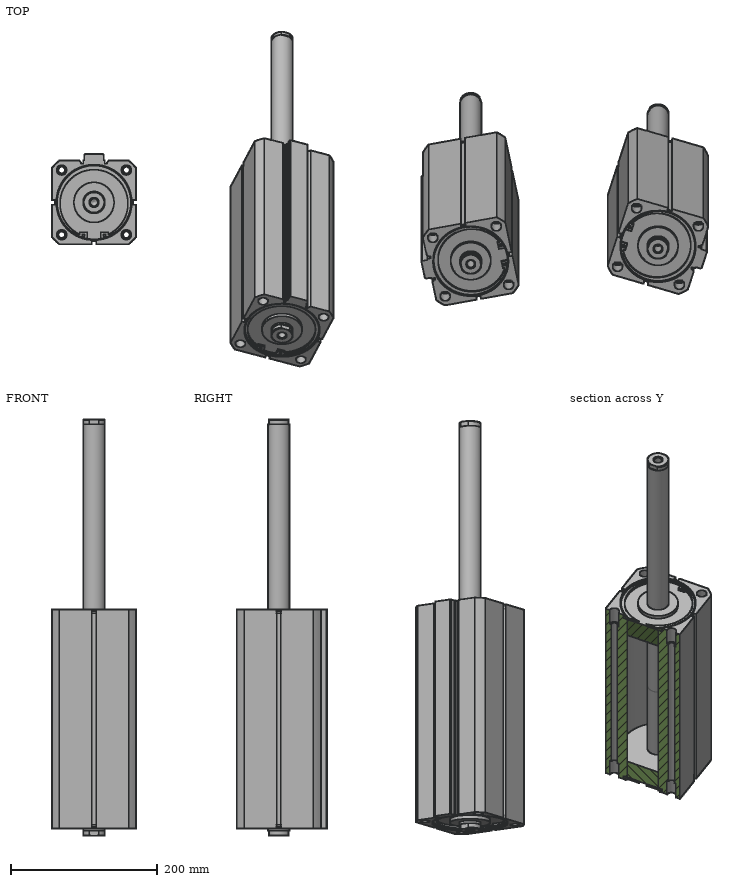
import cadquery as cq
import math

BODY_SIZE = 115.0
HALF = BODY_SIZE / 2
BODY_LENGTH = 300.0
CORNER_DIAMETER = 149.0
BORE_DIAMETER = 101.0
MOUTH_DIAMETER = 103.5
MOUTH_DEPTH = 1.5

SLOT_WIDTH = 6.0
SLOT_FLOOR = 53.0

RAIL_WIDTH = 27.0
RAIL_HEIGHT = 9.0
RAIL_CHAMFER = 1.5
RAIL_FOOT_WIDTH = 30.0
RAIL_FOOT_TOP = HALF + 0.5
RAIL_SLOT_WIDTH = 35.0
RAIL_SLOT_CHAMFER = 3.0

BOLT_SPACING = 88.5
BOLT_HOLE_DIAMETER = 9.0
TAP_DIAMETER = 13.5
TAP_DEPTH = 25.0

RING_THICKNESS = 3.0
RING_DEPTH = 2.5
RING_DIAMETER = 107.0
RING_INNER_DIAMETER = 93.0
RING_INNER_SHIFT = 1.7
RING_GAP = 19.0
EAR_INNER_Y = -41.0
EAR_WIDTH = 10.0
EAR_HOLE_DIAMETER = 3.5
EAR_HOLE_Y = -45.0

COLLAR_TOP = RING_DEPTH + RING_THICKNESS
COLLAR_LENGTH = 30.0
BOSS_DIAMETER = 55.0
BOSS_DEPTH = 0.5

ROD_DIAMETER = 30.0
ROD_TOP_REACH = 260.0
ROD_BOTTOM_REACH = 10.0
ROD_CHAMFER = 1.0
FLAT_ACROSS = 27.0
FLAT_LENGTH = 7.0
ROD_END_DIAMETER = 29.8
ROD_HOLE_DIAMETER = 10.5
ROD_HOLE_COUNTERSINK = 13.0
ROD_HOLE_DEPTH = 27.0
DRILL_TIP_ANGLE = 118.0

MID_PLANE = BODY_LENGTH / 2


def cylinder(diameter, bottom, top):
    return cq.Workplane("XY").workplane(offset=bottom).circle(diameter / 2).extrude(top - bottom)


def mirrored(end_part):
    """Copy of a part of the upper end, placed at the lower end."""
    return end_part.mirror("XY", (0, 0, MID_PLANE))


def long_box(width, y_low, y_high):
    """Full-length bar, centred on X, between two Y positions."""
    bar = cq.Workplane("XY").rect(width, y_high - y_low).extrude(BODY_LENGTH)
    return bar.translate((0, (y_low + y_high) / 2, 0))


def profile_blank():
    square = cq.Workplane("XY").rect(BODY_SIZE, BODY_SIZE).extrude(BODY_LENGTH)
    return square.intersect(cylinder(CORNER_DIAMETER, 0, BODY_LENGTH))


def rail_channel():
    half = RAIL_SLOT_WIDTH / 2
    mouth = half + RAIL_SLOT_CHAMFER
    outline = [
        (-half, SLOT_FLOOR), (half, SLOT_FLOOR), (half, HALF - RAIL_SLOT_CHAMFER), (mouth, HALF),
        (-mouth, HALF), (-half, HALF - RAIL_SLOT_CHAMFER),
    ]
    return cq.Workplane("XY").polyline(outline).close().extrude(BODY_LENGTH)


def rail():
    bar = long_box(RAIL_WIDTH, BORE_DIAMETER / 2, HALF + RAIL_HEIGHT)
    bar = bar.faces(">Y").edges("|Z").chamfer(RAIL_CHAMFER)
    return bar.union(long_box(RAIL_FOOT_WIDTH, BORE_DIAMETER / 2, RAIL_FOOT_TOP))


def bore():
    mouth = cylinder(MOUTH_DIAMETER, BODY_LENGTH - MOUTH_DEPTH, BODY_LENGTH)
    groove_top = BODY_LENGTH - RING_DEPTH
    groove = cylinder(RING_DIAMETER, groove_top - RING_THICKNESS, groove_top)
    cut = cylinder(BORE_DIAMETER, 0, BODY_LENGTH)
    for end in (mouth, groove):
        cut = cut.union(end).union(mirrored(end))
    return cut


def bolt_holes():
    corners = cq.Workplane("XY").rect(BOLT_SPACING, BOLT_SPACING, forConstruction=True).vertices()
    holes = corners.circle(BOLT_HOLE_DIAMETER / 2).extrude(BODY_LENGTH)
    corners = cq.Workplane("XY").rect(BOLT_SPACING, BOLT_SPACING, forConstruction=True).vertices()
    taps = corners.circle(TAP_DIAMETER / 2).extrude(TAP_DEPTH)
    return holes.union(taps).union(mirrored(taps))


def make_housing():
    body = profile_blank().cut(rail_channel()).union(rail())
    slot = long_box(SLOT_WIDTH, -HALF, -SLOT_FLOOR)
    for angle in (0, 90, -90):
        body = body.cut(slot.rotate((0, 0, 0), (0, 0, 1), angle))
    return body.cut(bore()).cut(bolt_holes())


def make_retaining_ring():
    bottom = BODY_LENGTH - COLLAR_TOP
    top = BODY_LENGTH - RING_DEPTH
    disc = cylinder(RING_DIAMETER, bottom, top)
    ring = disc.cut(cylinder(RING_INNER_DIAMETER, bottom, top).translate((0, -RING_INNER_SHIFT, 0)))
    ear_x = (RING_GAP + EAR_WIDTH) / 2
    ear_length = RING_DIAMETER / 2 + EAR_INNER_Y
    ear_y = EAR_INNER_Y - ear_length / 2
    plane = cq.Workplane("XY").workplane(offset=bottom)
    ears = plane.pushPoints([(-ear_x, ear_y), (ear_x, ear_y)])
    ears = ears.rect(EAR_WIDTH, ear_length).extrude(RING_THICKNESS)
    gap = plane.center(0, -RING_DIAMETER / 2).rect(RING_GAP, RING_DIAMETER / 2).extrude(RING_THICKNESS)
    holes = plane.pushPoints([(-ear_x, EAR_HOLE_Y), (ear_x, EAR_HOLE_Y)])
    holes = holes.circle(EAR_HOLE_DIAMETER / 2).extrude(RING_THICKNESS)
    return ring.union(ears.intersect(disc)).cut(gap).cut(holes)


def make_collar():
    face = BODY_LENGTH - COLLAR_TOP
    plug = cylinder(BORE_DIAMETER, face - COLLAR_LENGTH, face)
    boss = cylinder(BOSS_DIAMETER, face, BODY_LENGTH - BOSS_DEPTH)
    return plug.union(boss).cut(cylinder(ROD_DIAMETER, 0, BODY_LENGTH))


def rod_hole(end):
    """Blind hole with countersink and drill tip, opening upward at height `end`."""
    radius = ROD_HOLE_DIAMETER / 2
    mouth = ROD_HOLE_COUNTERSINK / 2
    tip = radius / math.tan(math.radians(DRILL_TIP_ANGLE / 2))
    floor = end - ROD_HOLE_DEPTH
    outline = [(0, end), (mouth, end), (radius, end - (mouth - radius)), (radius, floor), (0, floor - tip)]
    return cq.Workplane("XZ").polyline(outline).close().revolve(360, (0, 0, 0), (0, 1, 0))


def rod_half(reach):
    """Half of the rod, from the housing middle to its end `reach` above the housing."""
    end = BODY_LENGTH + reach
    shoulder = end - FLAT_LENGTH
    tip = cylinder(ROD_END_DIAMETER, shoulder, end).faces(">Z").chamfer(ROD_CHAMFER)
    flats = cq.Workplane("XY").workplane(offset=shoulder)
    flats = flats.rect(ROD_DIAMETER, FLAT_ACROSS).extrude(FLAT_LENGTH)
    shaft = cylinder(ROD_DIAMETER, MID_PLANE, shoulder)
    return shaft.union(tip.intersect(flats)).cut(rod_hole(end))


def make_rod():
    return rod_half(ROD_TOP_REACH).union(mirrored(rod_half(ROD_BOTTOM_REACH)))


housing = make_housing()
rod = make_rod()
upper_collar = make_collar()
lower_collar = mirrored(upper_collar)
upper_ring = make_retaining_ring()
lower_ring = mirrored(upper_ring)

result = cq.Compound.makeCompound([
    housing.val(),
    rod.val(),
    upper_collar.val(),
    lower_collar.val(),
    upper_ring.val(),
    lower_ring.val(),
])